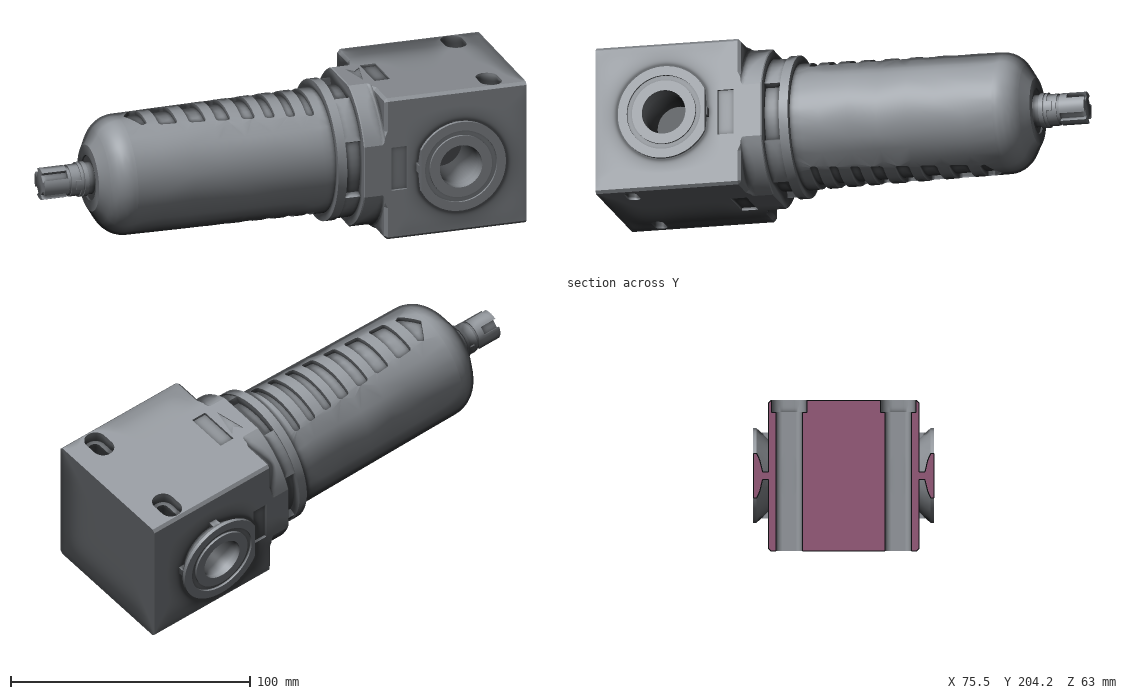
import cadquery as cq
import math


block_size = 63.0
half_block = block_size / 2
block_length = 71.7
edge_chamfer = 1.2
round_radius = 33.5
round_station = 62.5
round_fillet = 1.2
front_chamfer = 0.5

slot_spacing = 45.5
slot_station = 13.7
slot_length, slot_width = 11.0, 5.3
recess_length, recess_width = 14.5, 9.4
recess_depth = 5.1

label_station = 56.2
label_length, label_width, label_depth = 19.2, 7.0, 1.2
arrow_station = 63.7
arrow_length, arrow_width, arrow_notch, arrow_depth = 13.9, 6.1, 3.3, 0.5
arrow_offset = -0.5

port_station = 31.0
port_span = 75.5
port_radius = 19.8
port_rim = 1.5
port_root_radius = 15.3
port_flat = 17.5
port_rib_reach, port_rib_width, port_rib_setback = 18.0, 3.5, 2.5
groove_inner_radius, groove_outer_radius, groove_depth = 13.7, 16.0, 1.0
bore_radius = 9.4
bore_depth = 26.5

neck_radius = 26.3
lug_radius = 29.5
lug_gap_half_angle = math.radians(25)
collar_radius = 30.0
collar_start, collar_end = 78.6, 82.5

bowl_radius, bowl_end_radius = 26.5, 25.5
dome_start, bowl_end = 169.3, 182.8
dome_radius = 11.6
dome_sweep = math.radians(60)
nose_radius = 14.0
nose_recess_radius, nose_recess_depth = 9.5, 0.8

vents = [(87.8, 3.7), (96.0, 4.0), (104.8, 4.5), (113.3, 5.7), (124.0, 6.1), (134.4, 7.4), (146.6, 8.2)]
arrow_vent_start, arrow_vent_length, arrow_vent_shoulder = 159.5, 7.8, 2.5
vent_first_half_width = 15.3
vent_taper = 0.087
vent_corner = 1.5
arrow_vent_corner = 0.8
vent_depth = 2.0

valve_end = 204.2
valve_radius = 6.7
valve_collar_start, valve_collar_end, valve_collar_radius = 184.5, 188.0, 7.4
valve_collar_groove_start, valve_collar_groove_end = 186.5, 187.0
valve_tab_end, valve_tab_width = 190.3, 4.0
valve_groove_start, valve_groove_end, valve_groove_radius = 192.2, 193.4, 6.1
valve_slot_width, valve_slot_depth = 3.7, 2.5
short_slot_start = 196.5


def box(x_size, length, z_size, station, x=0.0, z=0.0):
    """Box centred on (x, z) that starts at a station and runs forward."""
    return cq.Workplane("XY").box(x_size, length, z_size).translate((x, -station - length / 2, z))


def disc(radius, start, end):
    """Cylinder on the bowl axis between two stations."""
    return cq.Workplane("XZ", origin=(0, -start, 0)).circle(radius).extrude(end - start)


def turned_about_bowl(shape, angle):
    return shape.rotate((0, 0, 0), (0, 1, 0), angle)


def head_block():
    """Square block that steps down to a turned front stretch with a concave fillet at its root."""
    square = box(block_size, round_station, block_size, 0)
    square = square.edges("|Y").chamfer(edge_chamfer).faces("<Y").edges().chamfer(edge_chamfer)

    fillet_radius = round_radius + round_fillet
    flare_start = round_station - edge_chamfer
    fillet_end = round_station + round_fillet
    fillet_middle = (
        fillet_radius - round_fillet * math.sqrt(0.5),
        -fillet_end + round_fillet * math.sqrt(0.5),
    )
    turned = (
        cq.Workplane("XY")
        .moveTo(0, -flare_start)
        .lineTo(fillet_radius + edge_chamfer, -flare_start)
        .lineTo(fillet_radius, -round_station)
        .threePointArc(fillet_middle, (round_radius, -fillet_end))
        .lineTo(round_radius, -block_length)
        .lineTo(0, -block_length)
        .close()
        .revolve(360, (0, 0, 0), (0, 1, 0))
    )
    outline = box(block_size, block_length, block_size, 0).edges("|Y").chamfer(edge_chamfer)
    front = turned.intersect(outline).faces("<Y").edges().chamfer(front_chamfer)
    return square.union(front)


def mounting_slots():
    centres = [(-slot_spacing / 2, -slot_station), (slot_spacing / 2, -slot_station)]
    through = (
        cq.Workplane("XY", origin=(0, 0, -half_block))
        .pushPoints(centres)
        .slot2D(slot_length, slot_width)
        .extrude(block_size)
    )
    recess = (
        cq.Workplane("XY", origin=(0, 0, half_block - recess_depth))
        .pushPoints(centres)
        .slot2D(recess_length, recess_width)
        .extrude(recess_depth)
    )
    return through.union(recess)


def label_window():
    return box(
        label_length, label_width, 2 * label_depth, label_station - label_width / 2, z=half_block
    )


def flow_arrow():
    tail = arrow_offset - arrow_length / 2
    return (
        cq.Workplane("XY", origin=(0, -arrow_station, half_block - arrow_depth))
        .polyline([
            (tail, arrow_width / 2),
            (tail + arrow_length, 0),
            (tail, -arrow_width / 2),
            (tail + arrow_notch, 0),
        ])
        .close()
        .extrude(2 * arrow_depth)
    )


def port_flange():
    """Flared flange on the +X side, trimmed flat at the front, with four ribs behind the rim."""
    reach = port_span / 2
    root = half_block - edge_chamfer
    flange = (
        cq.Workplane("XY")
        .polyline([
            (root, 0),
            (root, port_root_radius),
            (half_block, port_root_radius),
            (reach - port_rim, port_radius),
            (reach, port_radius),
            (reach, 0),
        ])
        .close()
        .revolve(360, (0, 0, 0), (1, 0, 0))
    )
    keep = box(port_span, port_radius + port_flat, 2 * port_radius, -port_radius, x=reach)
    flange = flange.intersect(keep)
    rib_length = reach - port_rib_setback - root
    rib_x = root + rib_length / 2
    for size in [
        (rib_length, 2 * port_rib_reach, port_rib_width),
        (rib_length, port_rib_width, 2 * port_rib_reach),
    ]:
        flange = flange.union(cq.Workplane("XY").box(*size).translate((rib_x, 0, 0)))
    return flange.translate((0, -port_station, 0))


def port_cuts():
    """Blind bore and face groove of the +X port."""
    face = cq.Workplane("YZ", origin=(port_span / 2, -port_station, 0))
    bore = face.circle(bore_radius).extrude(-bore_depth)
    groove = face.circle(groove_outer_radius).circle(groove_inner_radius).extrude(-groove_depth)
    return bore.union(groove)


def neck():
    """Plain neck with four diagonal lugs, parted by radial gaps centred on X and Z."""
    length = collar_start - block_length
    lugs = disc(lug_radius, block_length, collar_start)
    gap_half_width = lug_radius * math.tan(lug_gap_half_angle)
    gap = (
        cq.Workplane("XZ", origin=(0, -block_length, 0))
        .polyline([(0, 0), (gap_half_width, lug_radius), (-gap_half_width, lug_radius)])
        .close()
        .extrude(length)
    )
    for quarter in range(4):
        lugs = lugs.cut(turned_about_bowl(gap, 90 * quarter))
    return lugs.union(disc(neck_radius, block_length, collar_start))


def bowl():
    arc_centre = bowl_end_radius - dome_radius

    def dome_point(angle):
        return (arc_centre + dome_radius * math.cos(angle), -dome_start - dome_radius * math.sin(angle))

    shell = (
        cq.Workplane("XY")
        .moveTo(0, -collar_end)
        .lineTo(bowl_radius, -collar_end)
        .lineTo(bowl_end_radius, -dome_start)
        .threePointArc(dome_point(dome_sweep / 2), dome_point(dome_sweep))
        .lineTo(nose_radius, -bowl_end)
        .lineTo(0, -bowl_end)
        .close()
        .revolve(360, (0, 0, 0), (0, 1, 0))
    )
    return shell.cut(disc(nose_recess_radius, bowl_end - nose_recess_depth, bowl_end))


def vent_half_width(station):
    return vent_first_half_width - vent_taper * (station - vents[0][0])


def vent_prism(points):
    return cq.Workplane("XY").polyline(points).close().extrude(bowl_radius)


def vent_windows():
    """Recesses on the +Z side, with a floor parallel to the bowl wall."""
    cuts = cq.Workplane("XY")
    for start, length in vents:
        end = start + length
        near, far = vent_half_width(start), vent_half_width(end)
        window = vent_prism([(-near, -start), (near, -start), (far, -end), (-far, -end)])
        cuts = cuts.union(window.edges("|Z").fillet(vent_corner))
    start = arrow_vent_start
    shoulder = start + arrow_vent_shoulder
    near, far = vent_half_width(start) - vent_corner, vent_half_width(shoulder)
    arrow = vent_prism([
        (-near, -start),
        (near, -start),
        (far, -shoulder),
        (0, -start - arrow_vent_length),
        (-far, -shoulder),
    ])
    arrow = arrow.edges("|Z").edges("<X or >X").fillet(arrow_vent_corner)
    floor = (
        cq.Workplane("XY")
        .polyline([
            (0, -collar_end),
            (bowl_radius - vent_depth, -collar_end),
            (bowl_end_radius - vent_depth, -dome_start),
            (0, -dome_start),
        ])
        .close()
        .revolve(360, (0, 0, 0), (0, 1, 0))
    )
    return cuts.union(arrow).cut(floor)


def ring(outer_radius, inner_radius, start, end):
    return disc(outer_radius, start, end).cut(disc(inner_radius, start, end))


def drain_valve():
    """Valve stem with a grooved collar, two bayonet tabs at +X and -X, and a slotted knob."""
    valve = disc(valve_radius, bowl_end - nose_recess_depth, valve_end)
    valve = valve.union(disc(valve_collar_radius, valve_collar_start, valve_collar_end))
    tab_length = valve_tab_end - valve_collar_end
    tab_bar = box(2 * valve_collar_radius, tab_length, valve_tab_width, valve_collar_end)
    valve = valve.union(disc(valve_collar_radius, valve_collar_end, valve_tab_end).intersect(tab_bar))
    valve = valve.cut(
        ring(valve_collar_radius, valve_radius, valve_collar_groove_start, valve_collar_groove_end)
    )
    valve = valve.cut(ring(valve_radius, valve_groove_radius, valve_groove_start, valve_groove_end))

    for quarter in range(4):
        angle = 90 * quarter - 45
        start = short_slot_start if quarter == 0 else valve_groove_end
        slot = box(valve_slot_width, valve_end - start, 2 * valve_slot_depth, start, z=valve_radius)
        valve = valve.cut(turned_about_bowl(slot, angle))
    return valve


head = head_block().union(port_flange()).union(port_flange().mirror("YZ"))
head = head.cut(port_cuts()).cut(port_cuts().mirror("YZ")).cut(mounting_slots()).cut(flow_arrow())
for quarter_turn in range(4):
    head = head.cut(turned_about_bowl(label_window(), 90 * quarter_turn))

vented_bowl = bowl().cut(vent_windows()).cut(vent_windows().mirror("XY"))
collar = disc(collar_radius, collar_start, collar_end)

result = head.union(neck()).union(collar).union(vented_bowl).union(drain_valve())